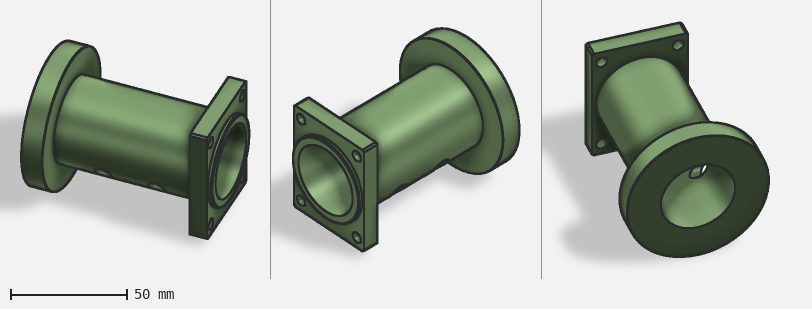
import cadquery as cq

total_length = 84.5
flange_thickness = 10.0
plate_thickness = 8.0
spigot_length = 2.0
spigot_start = total_length - spigot_length
plate_start = spigot_start - plate_thickness

flange_diameter = 65.0
tube_diameter = 40.0
spigot_diameter = 42.0
bore_diameter = 34.0

plate_width = 44.0
plate_height = 56.0
plate_corner_diameter = 70.0
bolt_hole_diameter = 5.2
bolt_spacing_y = 35.0
bolt_spacing_z = 45.0

cross_hole_diameter = 8.0
cross_hole_spacing = 25.0
first_cross_hole_x = 31.75
cross_hole_z = -11.25
cross_hole_positions = [first_cross_hole_x, first_cross_hole_x + cross_hole_spacing]

flange_chamfer = 0.2
spigot_chamfer = 0.5


def cylinder_along_x(diameter, start, length):
    """Solid cylinder on the X axis."""
    return cq.Workplane("YZ", origin=(start, 0, 0)).circle(diameter / 2).extrude(length)


def make_flange():
    flange = cylinder_along_x(flange_diameter, 0, flange_thickness)
    return flange.faces("<X or >X").chamfer(flange_chamfer)


def make_tube():
    return cylinder_along_x(tube_diameter, 0, spigot_start)


def make_plate():
    blank = (
        cq.Workplane("YZ", origin=(plate_start, 0, 0))
        .rect(plate_width, plate_height)
        .extrude(plate_thickness)
    )
    plate = blank.intersect(cylinder_along_x(plate_corner_diameter, plate_start, plate_thickness))
    bolt_holes = (
        cq.Workplane("YZ", origin=(plate_start, 0, 0))
        .rect(bolt_spacing_y, bolt_spacing_z, forConstruction=True)
        .vertices()
        .circle(bolt_hole_diameter / 2)
        .extrude(plate_thickness)
    )
    return plate.cut(bolt_holes)


def make_spigot():
    spigot = cylinder_along_x(spigot_diameter, spigot_start, spigot_length)
    return spigot.faces(">X").chamfer(spigot_chamfer)


def make_cross_holes():
    centers = [(x, cross_hole_z) for x in cross_hole_positions]
    return (
        cq.Workplane("XZ")
        .pushPoints(centers)
        .circle(cross_hole_diameter / 2)
        .extrude(tube_diameter / 2, both=True)
    )


body = make_flange().union(make_tube()).union(make_plate()).union(make_spigot())
bore = cylinder_along_x(bore_diameter, 0, total_length)
result = body.cut(bore).cut(make_cross_holes())